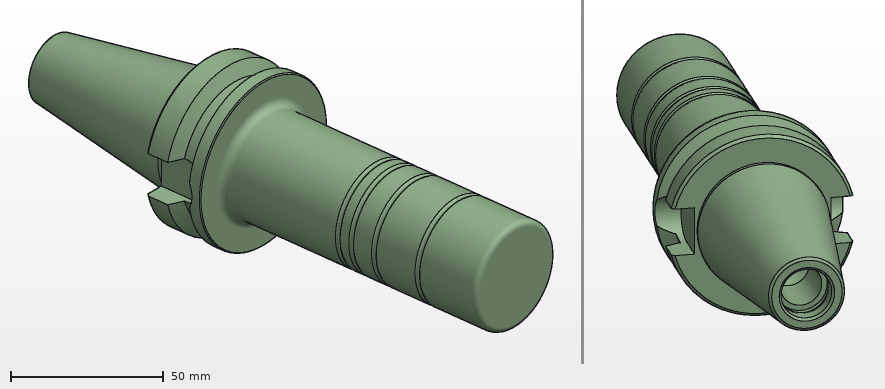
import cadquery as cq
import math

total_length = 202.0
shank_dia = 39.5

taper_ratio = 7 / 24
taper_length = 65.5
gauge_dia = 44.5
tip_face_dia = 23.6
tip_chamfer_length = 0.6
land_length = 2.0
land_dia = 44.0
land_bevel = 0.8

flange_dia = 63.0
flange_back_x = 92.0
flange_front_chamfer = 1.0
flange_back_chamfer = 0.5
groove_center_x = 82.0
groove_floor_dia = 52.5
groove_floor_width = 5.0
groove_mouth_width = 10.0

slot_width = 16.2
slot_floor_y = 22.8
slot_end_x = 88.5

root_radius = 3.0

bore_mouth_dia = 18.5
pilot_dia = 17.0
pilot_length = 6.0
undercut_dia = 17.5
undercut_end_x = 9.0
core_dia = 14.0
bore_depth = 28.3
drill_point_angle = 118.0

ring_starts = [140.7, 146.6, 156.5, 175.5]
ring_width = 2.0
ring_inner_dia = 36.8
ring_hollow = 0.6
nose_fillet = 2.0

tip_chamfer_end_dia = gauge_dia - (taper_length - tip_chamfer_length) * taper_ratio
flange_front_x = taper_length + land_length
nose_start_x = ring_starts[-1] + ring_width


def revolve_about_x(points):
    """Revolve a closed outline of (x, radius) points about the X axis."""
    return cq.Workplane("XY").polyline(points).close().revolve(360, (0, 0, 0), (1, 0, 0))


def make_bore():
    """Chamfered pilot, undercut, core and drill point, bored from the small end."""
    core_r = core_dia / 2
    pilot_r = pilot_dia / 2
    undercut_r = undercut_dia / 2
    mouth_r = bore_mouth_dia / 2
    point_length = core_r / math.tan(math.radians(drill_point_angle / 2))
    return revolve_about_x([
        (0, 0),
        (0, mouth_r),
        (mouth_r - pilot_r, pilot_r),
        (pilot_length, pilot_r),
        (pilot_length, undercut_r),
        (undercut_end_x, undercut_r),
        (undercut_end_x, core_r),
        (bore_depth, core_r),
        (bore_depth + point_length, 0),
    ])


def make_drive_slot(side):
    """Round-ended slot cutter standing on the slot floor, on side +1 or -1 of Y."""
    end_r = slot_width / 2
    arc_x = slot_end_x - end_r
    return (
        cq.Workplane("XZ", origin=(0, side * slot_floor_y, 0))
        .moveTo(flange_front_x, -end_r)
        .lineTo(arc_x, -end_r)
        .threePointArc((slot_end_x, 0), (arc_x, end_r))
        .lineTo(flange_front_x, end_r)
        .close()
        .extrude(-side * flange_dia / 2)
    )


def make_ring(start_x):
    """Ring filling a square seat in the shank, its outer face hollowed by an arc."""
    end_x = start_x + ring_width
    outer_r = shank_dia / 2
    inner_r = ring_inner_dia / 2
    return (
        cq.Workplane("XY")
        .moveTo(start_x, inner_r)
        .lineTo(start_x, outer_r)
        .threePointArc((start_x + ring_width / 2, outer_r - ring_hollow), (end_x, outer_r))
        .lineTo(end_x, inner_r)
        .close()
        .revolve(360, (0, 0, 0), (1, 0, 0))
    )


def make_ring_seat(start_x):
    """Square-sided seat around the shank for one ring."""
    return (
        cq.Workplane("YZ", origin=(start_x, 0, 0))
        .circle(shank_dia / 2)
        .circle(ring_inner_dia / 2)
        .extrude(ring_width)
    )


def make_holder():
    """Taper, flange and shank up to the nose, with seats for the rings."""
    gauge_r = gauge_dia / 2
    flange_r = flange_dia / 2
    groove_r = groove_floor_dia / 2
    shank_r = shank_dia / 2
    floor_half = groove_floor_width / 2
    mouth_half = groove_mouth_width / 2
    profile = (
        cq.Workplane("XY")
        .moveTo(0, 0)
        .lineTo(0, tip_face_dia / 2)
        .lineTo(tip_chamfer_length, tip_chamfer_end_dia / 2)
        .lineTo(taper_length, gauge_r)
        .lineTo(taper_length + land_bevel, land_dia / 2)
        .lineTo(flange_front_x, land_dia / 2)
        .lineTo(flange_front_x, flange_r - flange_front_chamfer)
        .lineTo(flange_front_x + flange_front_chamfer, flange_r)
        .lineTo(groove_center_x - mouth_half, flange_r)
        .lineTo(groove_center_x - floor_half, groove_r)
        .lineTo(groove_center_x + floor_half, groove_r)
        .lineTo(groove_center_x + mouth_half, flange_r)
        .lineTo(flange_back_x - flange_back_chamfer, flange_r)
        .lineTo(flange_back_x, flange_r - flange_back_chamfer)
        .lineTo(flange_back_x, shank_r + root_radius)
        .radiusArc((flange_back_x + root_radius, shank_r), -root_radius)
        .lineTo(nose_start_x, shank_r)
        .lineTo(nose_start_x, 0)
        .close()
    )
    holder = profile.revolve(360, (0, 0, 0), (1, 0, 0))
    holder = holder.cut(make_bore())
    for side in (1, -1):
        holder = holder.cut(make_drive_slot(side))
    for start_x in ring_starts:
        holder = holder.cut(make_ring_seat(start_x))
    return holder


def make_nose():
    """Plain rounded end piece butting against the holder."""
    return (
        cq.Workplane("YZ", origin=(nose_start_x, 0, 0))
        .circle(shank_dia / 2)
        .extrude(total_length - nose_start_x)
        .faces(">X")
        .fillet(nose_fillet)
    )


holder = make_holder()
rings = [make_ring(start_x) for start_x in ring_starts]
nose = make_nose()

result = cq.Compound.makeCompound([
    holder.val(),
    *[ring.val() for ring in rings],
    nose.val(),
])